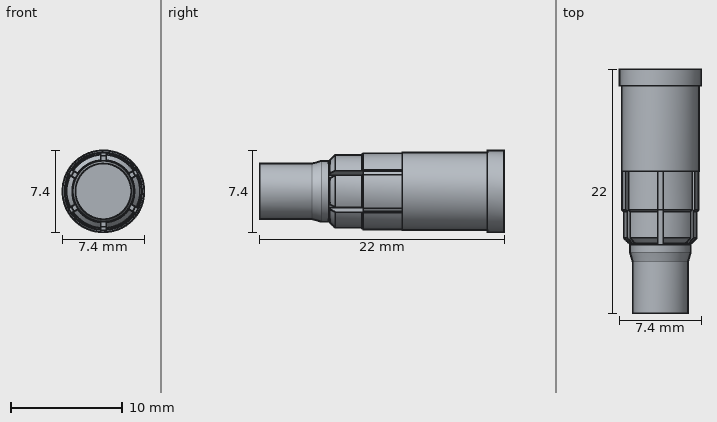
import cadquery as cq

length = 22.0

pin_radius = 2.5
bulge_radius = 2.75
collet_tip_radius = 2.82
collet_radius = 3.3
sleeve_radius = 3.45
body_radius = 3.5
flange_radius = 3.7

pin_end = 4.69
bulge_start = 5.52
bulge_end = 6.2
collet_tip = 6.31
collet_start = 6.8
collet_end = 9.17
sleeve_end = 12.83
flange_width = 1.5

slot_count = 6
slot_width = 0.5
slot_floor_radius = pin_radius
groove_floor_radius = 3.2

sleeve_start = collet_end + (sleeve_radius - collet_radius)
flange_start = length - flange_width


def turned_body():
    """Revolve the half profile (radius, station) about the Y axis."""
    profile = [
        (0, 0),
        (pin_radius, 0),
        (pin_radius, pin_end),
        (bulge_radius, bulge_start),
        (bulge_radius, bulge_end),
        (pin_radius, bulge_end),
        (pin_radius, collet_tip),
        (collet_tip_radius, collet_tip),
        (collet_radius, collet_start),
        (collet_radius, collet_end),
        (sleeve_radius, sleeve_start),
        (sleeve_radius, sleeve_end),
        (body_radius, sleeve_end),
        (body_radius, flange_start),
        (flange_radius, flange_start),
        (flange_radius, length),
        (0, length),
    ]
    return cq.Workplane("XY").polyline(profile).close().revolve(360, (0, 0, 0), (0, 1, 0))


def slot_ring(start, end, floor_radius):
    """Cutter for a full ring of slots whose floors are concentric with the axis."""
    slot_length = end - start
    block = cq.Workplane("XY").box(
        slot_width, slot_length, flange_radius, centered=(True, False, False)
    )
    ring = cq.Workplane("XY")
    for index in range(slot_count):
        angle = index * 360 / slot_count
        ring = ring.add(block.rotate((0, 0, 0), (0, 1, 0), angle))
    ring = ring.combine()
    core = cq.Workplane("XZ").circle(floor_radius).extrude(-slot_length)
    return ring.cut(core).translate((0, start, 0))


collet_slots = slot_ring(collet_tip, sleeve_start, slot_floor_radius)
sleeve_grooves = slot_ring(sleeve_start, sleeve_end, groove_floor_radius)
result = turned_body().cut(collet_slots).cut(sleeve_grooves).solids()